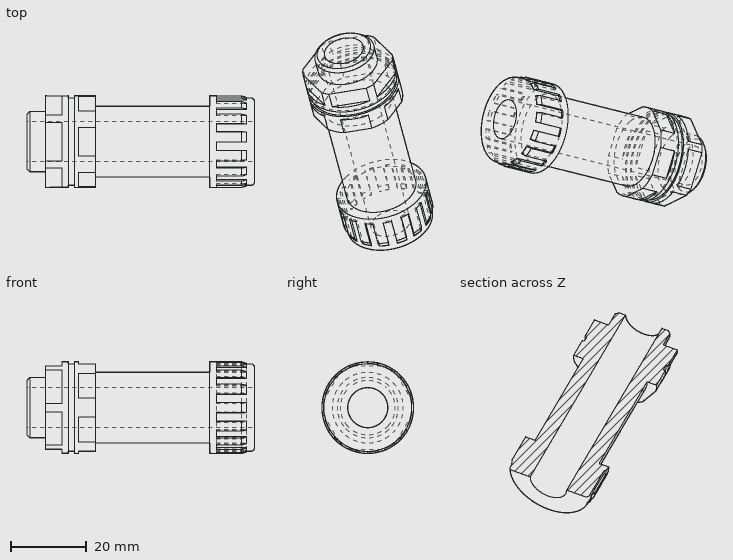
import cadquery as cq
import math

BORE_RADIUS = 5.25
SPIGOT_RADIUS = 8.0
TUBE_RADIUS = 9.35
BODY_RADIUS = 12.1
RECESS_RADIUS = 11.55
SPIGOT_CHAMFER = 0.8
CAP_NOSE_FILLET = 1.0

FRONT_HEX_START = 4.9
FRONT_HEX_END = 9.25
GROOVE_START = 10.9
GROOVE_END = 12.5
REAR_HEX_START = 13.6
REAR_HEX_END = 18.1
CAP_START = 48.15
SLOT_START = 49.9
RIDGE_TAPER_START = 56.6
RIDGE_END = 57.9
TOTAL_LENGTH = 60.0

FRONT_HEX_ACROSS_FLATS = 22.0
REAR_HEX_ACROSS_FLATS = 23.0
HEX_SIDES = 6

RIDGE_COUNT = 15
RIDGE_PITCH = 360 / RIDGE_COUNT
SLOT_WIDTH = 2.25
RIDGE_END_RADIUS = 11.65
RIDGE_ROOT_DEPTH = 0.5
FIRST_RIDGE_ANGLE = 180.0

CUT_CLEARANCE = 2.0


def turned_body():
    """Solid of revolution: spigot, grooved collar, tube and cap."""
    nose_diagonal = CAP_NOSE_FILLET * math.sqrt(0.5)
    nose_arc_middle = (
        TOTAL_LENGTH - CAP_NOSE_FILLET + nose_diagonal,
        RECESS_RADIUS - CAP_NOSE_FILLET + nose_diagonal,
    )
    profile = (
        cq.Workplane("XZ")
        .moveTo(0, BORE_RADIUS)
        .lineTo(0, SPIGOT_RADIUS - SPIGOT_CHAMFER)
        .lineTo(SPIGOT_CHAMFER, SPIGOT_RADIUS)
        .lineTo(FRONT_HEX_START, SPIGOT_RADIUS)
        .lineTo(FRONT_HEX_START, BODY_RADIUS)
        .lineTo(GROOVE_START, BODY_RADIUS)
        .lineTo(GROOVE_START, RECESS_RADIUS)
        .lineTo(GROOVE_END, RECESS_RADIUS)
        .lineTo(GROOVE_END, BODY_RADIUS)
        .lineTo(REAR_HEX_END, BODY_RADIUS)
        .lineTo(REAR_HEX_END, TUBE_RADIUS)
        .lineTo(CAP_START, TUBE_RADIUS)
        .lineTo(CAP_START, BODY_RADIUS)
        .lineTo(SLOT_START, BODY_RADIUS)
        .lineTo(SLOT_START, RECESS_RADIUS)
        .lineTo(TOTAL_LENGTH - CAP_NOSE_FILLET, RECESS_RADIUS)
        .threePointArc(nose_arc_middle, (TOTAL_LENGTH, RECESS_RADIUS - CAP_NOSE_FILLET))
        .lineTo(TOTAL_LENGTH, BORE_RADIUS)
        .close()
    )
    return profile.revolve(360, (0, 0), (1, 0))


def outside_of_hexagon(start, end, across_flats):
    """Material outside a hexagon that has flats facing +Z and -Z."""
    across_corners = across_flats / math.cos(math.pi / HEX_SIDES)
    return (
        cq.Workplane("YZ", origin=(start, 0, 0))
        .circle(BODY_RADIUS + CUT_CLEARANCE)
        .polygon(HEX_SIDES, across_corners)
        .extrude(end - start)
    )


def grip_ridges():
    """Ring of cap ridges with tapered ends, parted by parallel-sided slots."""
    ring_inner_radius = RECESS_RADIUS - RIDGE_ROOT_DEPTH
    ring_start = SLOT_START - RIDGE_ROOT_DEPTH
    ridges = (
        cq.Workplane("XZ")
        .moveTo(ring_start, ring_inner_radius)
        .lineTo(ring_start, BODY_RADIUS)
        .lineTo(RIDGE_TAPER_START, BODY_RADIUS)
        .lineTo(RIDGE_END, RIDGE_END_RADIUS)
        .lineTo(RIDGE_END, ring_inner_radius)
        .close()
        .revolve(360, (0, 0), (1, 0))
    )
    slot = cq.Workplane("XY").box(
        TOTAL_LENGTH - SLOT_START,
        BODY_RADIUS + CUT_CLEARANCE,
        SLOT_WIDTH,
        centered=(False, False, True),
    ).translate((SLOT_START, 0, 0))
    for index in range(RIDGE_COUNT):
        angle = FIRST_RIDGE_ANGLE + (index + 0.5) * RIDGE_PITCH
        ridges = ridges.cut(slot.rotate((0, 0, 0), (1, 0, 0), angle))
    return ridges


result = turned_body()
result = result.cut(outside_of_hexagon(FRONT_HEX_START, FRONT_HEX_END, FRONT_HEX_ACROSS_FLATS))
result = result.cut(outside_of_hexagon(REAR_HEX_START, REAR_HEX_END, REAR_HEX_ACROSS_FLATS))
result = result.union(grip_ridges())